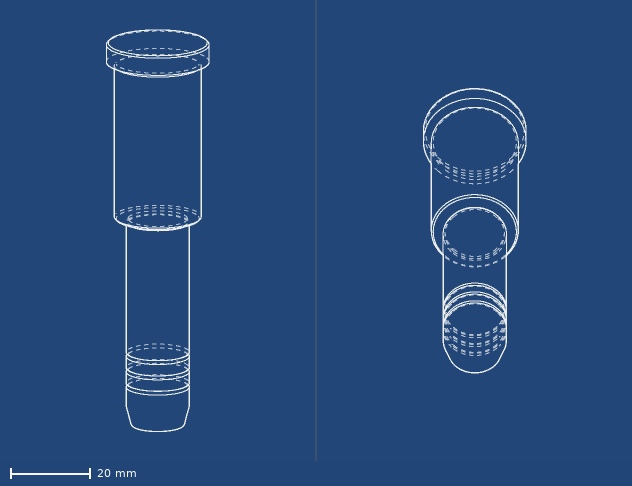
import cadquery as cq

total_length = 100.0

head_diameter = 26.0
head_height = 5.0
head_chamfer = 0.5

shank_diameter = 22.0
shank_bottom = 54.0
shank_chamfer = 0.5

pin_diameter = 16.0
pin_relief_diameter = 15.0
pin_relief_width = 1.0

tip_diameter = 13.4
taper_height = 5.0
tip_fillet = 0.5

groove_radius = 0.5
lowest_groove = 10.5
groove_pitch = 4.0
groove_count = 3


def cylinder(diameter, bottom, top):
    """Round bar on the Z axis between two heights."""
    return cq.Workplane("XY").workplane(offset=bottom).circle(diameter / 2).extrude(top - bottom)


def cut_groove(body, surface_diameter, centre_height):
    """Turn a half-round groove centred on a cylindrical surface."""
    surface_radius = surface_diameter / 2
    groove = (
        cq.Workplane("XZ")
        .moveTo(surface_radius, centre_height - groove_radius)
        .threePointArc(
            (surface_radius - groove_radius, centre_height),
            (surface_radius, centre_height + groove_radius),
        )
        .close()
        .revolve(360, (0, 0), (0, 1))
    )
    return body.cut(groove)


def make_head():
    head = cylinder(head_diameter, total_length - head_height, total_length)
    return head.faces(">Z").edges().chamfer(head_chamfer)


def make_shank():
    head_bottom = total_length - head_height
    shank = cylinder(shank_diameter, shank_bottom, head_bottom)
    shank = shank.faces("<Z").edges().chamfer(shank_chamfer)
    return cut_groove(shank, shank_diameter, head_bottom - groove_radius)


def make_pin():
    relief_bottom = shank_bottom - pin_relief_width
    pin = cylinder(pin_diameter, taper_height, relief_bottom)
    pin = pin.union(cylinder(pin_relief_diameter, relief_bottom, shank_bottom))
    for index in range(groove_count):
        groove_height = lowest_groove + index * groove_pitch
        pin = cut_groove(pin, pin_diameter, groove_height)
    return pin


def make_tip():
    tip = (
        cq.Workplane("XY")
        .circle(tip_diameter / 2)
        .workplane(offset=taper_height)
        .circle(pin_diameter / 2)
        .loft(ruled=True)
    )
    return tip.faces("<Z").edges().fillet(tip_fillet)


result = make_head().union(make_shank()).union(make_pin()).union(make_tip())